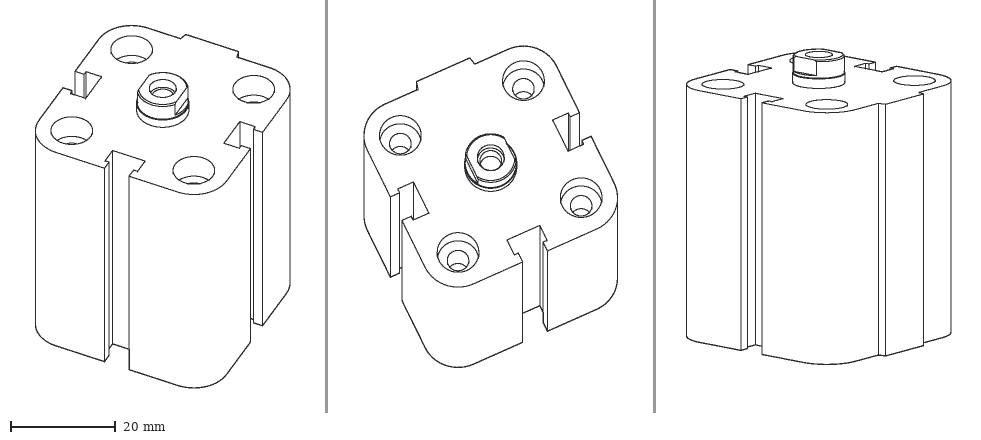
import cadquery as cq


body_width = 40.0
corner_radius = 7.0
half_width = body_width / 2

body_height = 49.5
head_height = 13.1
base_height = 12.85
barrel_height = body_height - head_height - base_height

rail_height = 1.55
rail_root_width = 12.0
rail_top_width = 11.3
rail_embed = 1.1

slot_mouth_width = 5.2
slot_inner_width = 6.95
slot_depth = 5.3
slot_lip = 2.0
slot_angles = (0, 90, -90)

hole_offset = half_width - corner_radius
counterbore_diameter = 8.0
counterbore_depth = 5.0
mount_hole_diameter = 4.1
mount_hole_depth = head_height

rod_diameter = 10.0
rod_end_diameter = 9.8
shoulder_chamfer = (rod_diameter - rod_end_diameter) / 2
rod_length = 5.5
rod_end_length = 3.5
rod_end_chamfer = 0.3
flat_spacing = 8.05
flat_length = 3.0
rod_hole_diameter = 4.1
rod_counterbore_diameter = 5.15
rod_counterbore_depth = 2.0


def make_slot(height):
    """Cutter for a T-slot along the front face."""
    mouth = (
        cq.Workplane("XY")
        .center(0, -half_width + slot_depth / 2)
        .rect(slot_mouth_width, slot_depth)
        .extrude(height)
    )
    inner_depth = slot_depth - slot_lip
    inner = (
        cq.Workplane("XY")
        .center(0, -half_width + slot_lip + inner_depth / 2)
        .rect(slot_inner_width, inner_depth)
        .extrude(height)
    )
    return mouth.union(inner)


def make_section(height, bottom):
    """One length of the housing: rounded square with a back rail and T-slots on the other faces."""
    block = cq.Workplane("XY").rect(body_width, body_width).extrude(height)
    block = block.edges("|Z").fillet(corner_radius)
    rail = (
        cq.Workplane("XY")
        .moveTo(-rail_root_width / 2, half_width - rail_embed)
        .lineTo(rail_root_width / 2, half_width - rail_embed)
        .lineTo(rail_root_width / 2, half_width)
        .lineTo(rail_top_width / 2, half_width + rail_height)
        .lineTo(-rail_top_width / 2, half_width + rail_height)
        .lineTo(-rail_root_width / 2, half_width)
        .close()
        .extrude(height)
    )
    section = block.union(rail)
    slot = make_slot(height)
    for angle in slot_angles:
        section = section.cut(slot.rotate((0, 0, 0), (0, 0, 1), angle))
    return section.translate((0, 0, bottom))


def make_housing():
    """Base, barrel and head in one solid; the unmerged faces keep the section lines."""
    base = make_section(base_height, 0)
    barrel = make_section(barrel_height, base_height)
    head = make_section(head_height, base_height + barrel_height)
    housing = base.union(barrel, clean=False).union(head, clean=False)

    holes = (
        cq.Workplane("XY", origin=(0, 0, body_height))
        .rect(2 * hole_offset, 2 * hole_offset, forConstruction=True)
        .vertices()
    )
    counterbores = holes.circle(counterbore_diameter / 2).extrude(-counterbore_depth)
    bores = holes.circle(mount_hole_diameter / 2).extrude(-mount_hole_depth)
    return housing.cut(counterbores, clean=False).cut(bores, clean=False)


def make_rod():
    """Rod standing on the head: collar, turned-down end with two flats, stepped bore."""
    collar_length = rod_length - rod_end_length
    collar = (
        cq.Workplane("XY")
        .circle(rod_diameter / 2)
        .extrude(collar_length)
        .faces(">Z")
        .chamfer(shoulder_chamfer)
    )
    end = (
        cq.Workplane("XY", origin=(0, 0, collar_length))
        .circle(rod_end_diameter / 2)
        .extrude(rod_end_length)
        .faces(">Z")
        .chamfer(rod_end_chamfer)
    )
    rod = collar.union(end)

    flat_zone = (
        cq.Workplane("XY", origin=(0, 0, rod_length - flat_length))
        .rect(2 * rod_diameter, 2 * rod_diameter)
        .rect(flat_spacing, 2 * rod_diameter)
        .extrude(flat_length)
    )
    rod = rod.cut(flat_zone)

    rod = rod.faces(">Z").workplane(origin=(0, 0, rod_length)).cboreHole(
        rod_hole_diameter, rod_counterbore_diameter, rod_counterbore_depth
    )
    return rod.translate((0, 0, body_height))


housing = make_housing()
rod = make_rod()

result = cq.Compound.makeCompound([housing.val(), rod.val()])